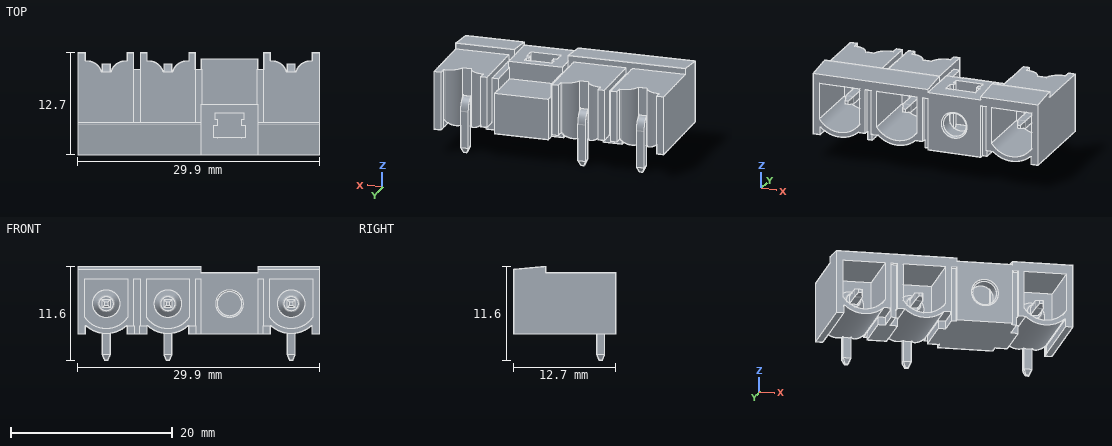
import cadquery as cq
import math


pitch = 7.62
row_positions = 4
flange_index = 2
end_wall_reach = 3.5
row_length = (row_positions - 1) * pitch + 2 * end_wall_reach
body_depth = 12.65
body_height = 7.6
axis_height = 3.75

ridge_depth = 4.0
ridge_front_height = 8.0
ridge_peak_height = 8.35
ridge_flat = 0.2

pole_half_width = 3.4
shell_radius = 3.7
cavity_half_width = 2.67
cavity_top = 6.8
cavity_corner_height = 2.1
cavity_bottom = 0.67
cavity_depth = 8.5
wall_bottom = 1.0
foot_inner = 2.57
foot_outer = 3.5
foot_start = ridge_depth

collar_base_radius = 1.7
collar_tip_radius = 1.0
collar_face_radius = 0.88
collar_length = 2.0
collar_edge_length = 0.25

notch_half_width = 2.58
notch_front = 11.65
notch_arc_radius = 1.9
notch_arc_centre_x = 2.4

web_front = 0.6
web_rear = 10.6
web_top = cavity_top

flange_half_width = 3.5
flange_rear = 11.9
flange_step = 6.26
flange_rear_height = 5.32
screw_radius = 1.5
screw_countersink = 0.2
nut_floor = 1.8
nut_front = 2.15
nut_neck_front = 3.65
nut_neck_rear = 4.37
nut_rear = 5.2
nut_front_half_width = 1.96
nut_neck_half_width = 1.5
nut_rear_half_width = 1.78

pin_width = 1.0
pin_tip_width = 0.4
blade_taper = 1.0
leg_taper = 0.7
bend_radius = 2.0
pin_front = 2.45
leg_front = 10.27
leg_bottom = -3.25
leg_rear = leg_front + pin_width

position_x = [(i - (row_positions - 1) / 2) * pitch for i in range(row_positions)]
pole_x = [x for i, x in enumerate(position_x) if i != flange_index]
flange_x = position_x[flange_index]


def block(x_min, x_max, y_min, y_max, z_min, z_max):
    """Box given by its limits along each axis."""
    size = (x_max - x_min, y_max - y_min, z_max - z_min)
    return cq.Workplane("XY").box(*size, centered=False).translate((x_min, y_min, z_min))


def mating_face(x):
    """Workplane on the mating face, centred on the axis at x, with its normal toward the rear."""
    return cq.Workplane(cq.Plane(origin=(x, 0, axis_height), xDir=(-1, 0, 0), normal=(0, 1, 0)))


def pole_shell(x):
    """Walls and top with the round underside, before the cavity is cut."""
    walls = block(x - pole_half_width, x + pole_half_width, 0, body_depth, wall_bottom, body_height)
    barrel = mating_face(x).circle(shell_radius).extrude(body_depth)
    barrel_zone = block(x - foot_inner, x + foot_inner, 0, body_depth, 0, body_height)
    shell = walls.union(barrel.intersect(barrel_zone))
    for side in (-1, 1):
        inner, outer = sorted((x + side * foot_inner, x + side * foot_outer))
        shell = shell.union(block(inner, outer, foot_start, web_rear, 0, wall_bottom))
    return shell


def cavity(x):
    """Mating cavity, leaving the tapered collar at its back."""
    side_z = cavity_corner_height - axis_height
    top_z = cavity_top - axis_height
    pocket = (
        mating_face(x)
        .moveTo(-cavity_half_width, top_z)
        .lineTo(cavity_half_width, top_z)
        .lineTo(cavity_half_width, side_z)
        .threePointArc((0, cavity_bottom - axis_height), (-cavity_half_width, side_z))
        .close()
        .extrude(cavity_depth)
    )
    collar_tip = cavity_depth - collar_length
    collar = (
        cq.Workplane("XY")
        .polyline([
            (0, cavity_depth),
            (collar_base_radius, cavity_depth),
            (collar_tip_radius, collar_tip + collar_edge_length),
            (collar_face_radius, collar_tip),
            (0, collar_tip),
        ])
        .close()
        .revolve(360, (0, 0), (0, 1))
        .translate((x, 0, axis_height))
    )
    return pocket.cut(collar)


def rear_notch(x):
    """Recess through the full height, with rounded flanks down to the leg seat."""
    centre_y = notch_front - notch_arc_radius
    seat_angle = math.asin((leg_front - centre_y) / notch_arc_radius)
    middle_angle = (seat_angle + math.pi / 2) / 2
    seat_half_width = notch_arc_centre_x - notch_arc_radius * math.cos(seat_angle)
    arc_x = notch_arc_centre_x - notch_arc_radius * math.cos(middle_angle)
    arc_y = centre_y + notch_arc_radius * math.sin(middle_angle)
    return (
        cq.Workplane("XY")
        .moveTo(-notch_half_width, body_depth)
        .lineTo(-notch_half_width, notch_front)
        .lineTo(-notch_arc_centre_x, notch_front)
        .threePointArc((-arc_x, arc_y), (-seat_half_width, leg_front))
        .lineTo(seat_half_width, leg_front)
        .threePointArc((arc_x, arc_y), (notch_arc_centre_x, notch_front))
        .lineTo(notch_half_width, notch_front)
        .lineTo(notch_half_width, body_depth)
        .close()
        .extrude(body_height)
        .translate((x, 0, 0))
    )


def flange():
    """Stepped block with a countersunk screw hole and a nut slot open at the top."""
    left = flange_x - flange_half_width
    right = flange_x + flange_half_width
    body = block(left, right, 0, flange_step, 0, body_height)
    body = body.union(block(left, right, flange_step, flange_rear, 0, flange_rear_height))

    slot_steps = [
        (nut_front, nut_neck_front, nut_front_half_width),
        (nut_neck_front, nut_neck_rear, nut_neck_half_width),
        (nut_neck_rear, nut_rear, nut_rear_half_width),
    ]
    for y_min, y_max, half_width in slot_steps:
        body = body.cut(
            block(flange_x - half_width, flange_x + half_width, y_min, y_max, nut_floor, body_height)
        )

    hole = mating_face(flange_x).circle(screw_radius).extrude(nut_rear)
    countersink = (
        mating_face(flange_x)
        .circle(screw_radius + screw_countersink)
        .workplane(offset=screw_countersink)
        .circle(screw_radius)
        .loft()
    )
    return body.cut(hole).cut(countersink)


def ridge():
    """Sloped ridge over the whole row, open above the flange."""
    bar = (
        cq.Workplane("YZ")
        .polyline([
            (0, cavity_top),
            (0, ridge_front_height),
            (ridge_depth - ridge_flat, ridge_peak_height),
            (ridge_depth, ridge_peak_height),
            (ridge_depth, cavity_top),
        ])
        .close()
        .extrude(row_length / 2, both=True)
    )
    left = flange_x - flange_half_width
    right = flange_x + flange_half_width
    return bar.cut(block(left, right, 0, ridge_depth, cavity_top, ridge_peak_height))


def web(left_x, right_x):
    """Web between two neighbouring positions, narrowed between their feet."""
    upper = block(left_x + pole_half_width, right_x - pole_half_width,
                  web_front, web_rear, wall_bottom, web_top)
    lower = block(left_x + foot_outer, right_x - foot_outer, web_front, web_rear, 0, wall_bottom)
    return upper.union(lower)


def end_wall(side):
    """Plain outer wall down to the base at one end of the row."""
    inner = side * (row_length / 2 - end_wall_reach + foot_inner)
    outer = side * row_length / 2
    x_min, x_max = sorted((inner, outer))
    return block(x_min, x_max, 0, body_depth, 0, body_height)


def pin_tip(base, length, direction):
    """Square pyramid stub that tapers from the pin section to a blunt end."""
    return (
        cq.Workplane(cq.Plane(origin=base, xDir=(1, 0, 0), normal=direction))
        .rect(pin_width, pin_width)
        .workplane(offset=length)
        .rect(pin_tip_width, pin_tip_width)
        .loft()
    )


def pin(x):
    """Bent contact: a mating blade toward the front and a solder leg downward."""
    blade_start = pin_front + blade_taper
    leg_end = leg_bottom + leg_taper
    blade_top = axis_height + pin_width / 2
    bend_y = leg_rear - bend_radius
    bend_z = blade_top - bend_radius
    inner_radius = bend_radius - pin_width
    diagonal = math.sqrt(0.5)
    bar = (
        cq.Workplane("YZ")
        .moveTo(blade_start, blade_top)
        .lineTo(bend_y, blade_top)
        .threePointArc(
            (bend_y + bend_radius * diagonal, bend_z + bend_radius * diagonal),
            (leg_rear, bend_z),
        )
        .lineTo(leg_rear, leg_end)
        .lineTo(leg_front, leg_end)
        .lineTo(leg_front, bend_z)
        .threePointArc(
            (bend_y + inner_radius * diagonal, bend_z + inner_radius * diagonal),
            (bend_y, blade_top - pin_width),
        )
        .lineTo(blade_start, blade_top - pin_width)
        .close()
        .extrude(pin_width / 2, both=True)
        .translate((x, 0, 0))
    )
    blade_tip = pin_tip((x, blade_start, axis_height), blade_taper, (0, -1, 0))
    leg_tip = pin_tip((x, leg_front + pin_width / 2, leg_end), leg_taper, (0, 0, -1))
    return bar.union(blade_tip).union(leg_tip)


pins = [pin(x) for x in pole_x]

housing = flange().union(ridge())
for x in pole_x:
    housing = housing.union(pole_shell(x))
for left_x, right_x in zip(position_x, position_x[1:]):
    housing = housing.union(web(left_x, right_x))
for side in (-1, 1):
    housing = housing.union(end_wall(side))
for x in pole_x:
    housing = housing.cut(cavity(x)).cut(rear_notch(x))
for contact in pins:
    housing = housing.cut(contact)

result = cq.Compound.makeCompound([housing.val(), *[contact.val() for contact in pins]])